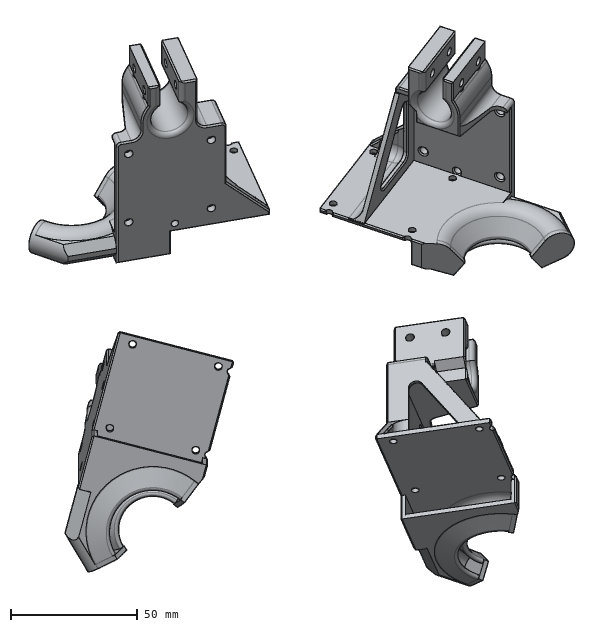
import cadquery as cq
import math


width = 47.2
length = 95.7
wall = 2.0
base_thickness = 2.1
side_chamfer = 0.7
left_chamfer = 0.6
upright_thickness = 4.0
upright_inner_x = width - upright_thickness
upright_front_y = -63.1
gusset_rear_y = -17.9
gusset_front_y = gusset_rear_y - wall
gusset_top_x = 30.6
overhang_z = 44.4
web_fillet = 5.0
big = 191.5

window_left_x = 9.0
window_right_x = 38.2
window_bottom_z = 4.9
window_corner_radius = 3.0
window_chamfer = 0.6

clip_left_x = 18.2
clip_top_z = 71.7
clip_rear_y = -30.0
bore_y = -41.0
bore_z = 54.5
bore_radius = 7.7
mouth_radius = 2.0
slot_half_width = 3.9
clip_outer_radius = 12.0
clip_front_y = bore_y - clip_outer_radius
front_arm_y = -50.0
flank_angle = 36.0
clip_end_chamfer = 0.6
relief_y = -33.5
relief_bottom_z = 49.9
relief_top_z = 52.85
shoulder_fillet = 4.0
shoulder_corner = 1.9
rear_shoulder_z = 47.6
front_shoulder_z = 46.4
front_shoulder_x = 40.0
front_shoulder_slant_end_y = -57.35
front_shoulder_bend = 3.6

duct_x = 14.1
duct_start_angle = -45.0
duct_end_angle = 113.9
tube_ring_radius = 24.2
tube_radius = 6.9
duct_y = (tube_ring_radius + tube_radius + wall) * math.sin(math.radians(-duct_start_angle)) - length
tube_centre = (tube_ring_radius, -tube_radius)
upper_lip = (13.1, -9.6)
lower_lip = (17.5, -16.2)
inlet_rear_y = -40.7
inlet_bottom_z = -13.4
duct_side_chamfer = 3.5
duct_side_lower_z = -8.1

base_hole_d = 3.0
base_hole_x = (5.5, 40.6)
base_hole_y = (-3.35, -38.5)
notch_radius = 1.5
notch_y = (-4.2, -39.2)
screw_hole_d = 3.4
hole_chamfer = 0.6
upright_hole_y = (-24.1, -58.1)
upright_hole_z = (6.3, 40.4)
access_hole_d = 3.0
access_hole_z = 1.8
clamp_hole_x = (26.0, 40.6)
clamp_hole_z = 65.8
clamp_spot_d = 7.7


def box(x0, x1, y0, y1, z0, z1):
    """Axis-aligned block between two corners."""
    return cq.Workplane("XY").box(x1 - x0, y1 - y0, z1 - z0, centered=False).translate((x0, y0, z0))


def prism_along_x(points, x0, x1):
    """Prism with a (Y, Z) outline."""
    return cq.Workplane("YZ", origin=(x0, 0, 0)).polyline(points).close().extrude(x1 - x0)


def prism_along_y(points, y_rear, y_front):
    """Prism with an (X, Z) outline."""
    return cq.Workplane("XZ", origin=(0, y_rear, 0)).polyline(points).close().extrude(y_rear - y_front)


def hole(plane, origin, diameter, length):
    return cq.Workplane(plane, origin=origin).circle(diameter / 2).extrude(length)


def moved(point, direction, distance):
    """Point shifted along a direction in the duct section."""
    return (point[0] + direction[0] * distance, point[1] + direction[1] * distance)


def middle(p, q):
    return ((p[0] + q[0]) / 2, (p[1] + q[1]) / 2)


gusset_right_x = width - side_chamfer
gusset_outline = [(0, 0), (gusset_right_x, 0), (gusset_right_x, overhang_z), (gusset_top_x, overhang_z)]
rib_reach = -gusset_rear_y
rib_outline = [(0, 0), (gusset_rear_y, rib_reach), (gusset_rear_y, 0)]


def gusset():
    """Triangular web with a rounded window, chamfered on its front side."""
    slope = gusset_top_x / overhang_z
    window_outline = [
        (window_left_x + slope * window_bottom_z, window_bottom_z),
        (window_right_x, window_bottom_z),
        (window_right_x, (window_right_x - window_left_x) / slope),
    ]
    window = prism_along_y(window_outline, gusset_rear_y, gusset_front_y)
    window = window.edges("|Y").fillet(window_corner_radius)
    web = prism_along_y(gusset_outline, gusset_rear_y, gusset_front_y).cut(window)
    rim = web.faces("<Y").val().innerWires()[0].Edges()
    return web.newObject(rim).chamfer(window_chamfer)


def corner_fillets():
    """Material that rounds the corner between plate, gusset and rib, trimmed to their sloping edges."""
    block = box(0, upright_inner_x, gusset_rear_y, -web_fillet, 0, rib_reach)
    block = block.union(box(upright_inner_x, upright_inner_x + side_chamfer,
                            gusset_rear_y, gusset_rear_y + web_fillet, 0, rib_reach))
    space = box(-big, upright_inner_x, gusset_rear_y, big, 0, big)
    space = space.edges("(|Z and >X and <Y) or (<Z and >X) or (<Z and <Y)").fillet(web_fillet)
    gusset_side = prism_along_y(gusset_outline, 0, -big)
    rib_side = prism_along_x(rib_outline, 0, width)
    return block.cut(space).intersect(gusset_side).intersect(rib_side)


def clip_body():
    """Clamp outline with its cut-back rear corner; the bore is cut later."""
    def on_arc(angle):
        a = math.radians(angle)
        return (bore_y - clip_outer_radius * math.cos(a), bore_z + clip_outer_radius * math.sin(a))

    arc_top = on_arc(flank_angle)
    flat_rise = (front_arm_y - arc_top[0]) / math.tan(math.radians(flank_angle))
    body = (
        cq.Workplane("YZ", origin=(clip_left_x, 0, 0))
        .moveTo(clip_rear_y, overhang_z).lineTo(clip_rear_y, clip_top_z).lineTo(front_arm_y, clip_top_z)
        .lineTo(front_arm_y, arc_top[1] + flat_rise).lineTo(*arc_top)
        .threePointArc(on_arc(flank_angle / 2), on_arc(0)).lineTo(clip_front_y, overhang_z)
        .close().extrude(width - clip_left_x)
    )
    relief_outline = [(clip_rear_y, relief_top_z), (relief_y, relief_bottom_z),
                      (relief_y, overhang_z), (clip_rear_y, overhang_z)]
    body = body.cut(prism_along_x(relief_outline, clip_left_x, gusset_top_x))
    return body.faces("<X").edges().chamfer(clip_end_chamfer)


def shoulder(x0, inner_y, outer_y, top_z):
    """Step beside the clip, blended into it by a concave fillet and rounded at its outer edge."""
    out = math.copysign(1, outer_y - inner_y)
    arc_share = 1 - math.sqrt(0.5)
    r = shoulder_fillet
    c = shoulder_corner
    return (
        cq.Workplane("YZ", origin=(x0, 0, 0))
        .moveTo(bore_y, overhang_z).lineTo(bore_y, top_z + r).lineTo(inner_y, top_z + r)
        .threePointArc((inner_y + out * r * arc_share, top_z + r * arc_share), (inner_y + out * r, top_z))
        .lineTo(outer_y - out * c, top_z)
        .threePointArc((outer_y - out * c * arc_share, top_z - c * arc_share), (outer_y, top_z - c))
        .lineTo(outer_y, overhang_z).close().extrude(width - x0)
    )


def rear_shoulder():
    step = shoulder(gusset_top_x, clip_rear_y, gusset_rear_y, rear_shoulder_z)
    return step.faces("<X").edges().chamfer(clip_end_chamfer)


def front_shoulder():
    """Front step whose side slants away from the clip and bends forward along the upright."""
    start_x = clip_left_x + clip_end_chamfer
    plan = (
        cq.Workplane("XY", origin=(0, 0, overhang_z))
        .polyline([(start_x, bore_y), (start_x, clip_front_y),
                   (front_shoulder_x, front_shoulder_slant_end_y), (front_shoulder_x, upright_front_y),
                   (width, upright_front_y), (width, bore_y)])
        .close().extrude(clip_top_z)
    )
    bend = cq.selectors.NearestToPointSelector(
        (front_shoulder_x, front_shoulder_slant_end_y, overhang_z + clip_top_z / 2))
    plan = plan.edges(bend).fillet(front_shoulder_bend)
    return shoulder(clip_left_x, clip_front_y, upright_front_y, front_shoulder_z).intersect(plan)


def bore_cutter():
    """Bore and slot, rounded outward at both ends and bevelled at the top of the slot."""
    slot_left = bore_y - slot_half_width
    slot_right = bore_y + slot_half_width
    margin = 9.6
    cutter = hole("YZ", (clip_left_x, bore_y, bore_z), 2 * bore_radius, width - clip_left_x)
    cutter = cutter.union(box(clip_left_x, width, slot_left, slot_right, bore_z, clip_top_z + margin))
    for x0, x1 in ((clip_left_x - margin, clip_left_x), (width, width + margin)):
        cutter = cutter.union(box(x0, x1, -big, 0, 0, big))
    for x in (clip_left_x, width):
        mouth = cq.selectors.BoxSelector(
            (x - 0.1, bore_y - 2 * bore_radius, bore_z - 2 * bore_radius),
            (x + 0.1, bore_y + 2 * bore_radius, clip_top_z + 2 * margin))
        cutter = cutter.edges(mouth).fillet(mouth_radius)
    bevel_outline = [(slot_left - side_chamfer, clip_top_z), (slot_right + side_chamfer, clip_top_z),
                     (slot_right, clip_top_z - side_chamfer), (slot_left, clip_top_z - side_chamfer)]
    return cutter.union(prism_along_x(bevel_outline, clip_left_x, width))


def upright():
    plate = box(upright_inner_x, width, upright_front_y, gusset_rear_y, -base_thickness, overhang_z)
    return plate.edges("|Z and <Y and <X").chamfer(side_chamfer)


def rear_rib():
    rib = prism_along_x(rib_outline, upright_inner_x, width)
    rib = rib.edges("<X and (not |Y) and (not |Z)").chamfer(side_chamfer)
    return rib.union(box(upright_inner_x, width, gusset_rear_y, 0, -base_thickness, 0))


def right_side():
    duct_side_wall = box(upright_inner_x, width, upright_front_y, inlet_rear_y, inlet_bottom_z, -base_thickness)
    side = upright().union(rear_rib()).union(duct_side_wall)
    side = side.union(clip_body()).union(rear_shoulder()).union(front_shoulder()).clean()
    return side.faces(">X").edges().chamfer(side_chamfer).cut(bore_cutter())


def duct_plane(angle, shift=0):
    """Radial plane of the duct: x is radius, y is Z, the normal points back along the sweep."""
    a = math.radians(angle)
    plane = cq.Plane(origin=(duct_x, duct_y, 0), xDir=(math.cos(a), math.sin(a), 0),
                     normal=(math.sin(a), -math.cos(a), 0))
    return cq.Workplane(plane).workplane(offset=shift)


def tangent_normal(point, side):
    """Unit vector from the tube centre to where a line through the point touches the tube."""
    dx = point[0] - tube_centre[0]
    dz = point[1] - tube_centre[1]
    angle = math.atan2(dz, dx) + side * math.acos(tube_radius / math.hypot(dx, dz))
    return (math.cos(angle), math.sin(angle))


upper_normal = tangent_normal(upper_lip, -1)
lower_normal = tangent_normal(lower_lip, 1)
upper_run = (-upper_normal[1], upper_normal[0])
lower_run = (lower_normal[1], -lower_normal[0])
outermost = (1, 0)


def on_tube(radius, direction):
    return moved(tube_centre, direction, radius)


def tube_section(workplane):
    """Closed tube section with two flat sides running to the nozzle lips."""
    return (
        workplane.moveTo(*upper_lip).lineTo(*on_tube(tube_radius, upper_normal))
        .threePointArc(on_tube(tube_radius, outermost), on_tube(tube_radius, lower_normal))
        .lineTo(*lower_lip).close()
    )


def duct_shell():
    """Hollow tube, open between two rounded lips."""
    inner_radius = tube_radius - wall
    nose = wall / 2
    upper_outer = moved(upper_lip, upper_run, -nose)
    upper_inner = moved(upper_outer, upper_normal, -wall)
    lower_outer = moved(lower_lip, lower_run, -nose)
    lower_inner = moved(lower_outer, lower_normal, -wall)
    return (
        duct_plane(duct_start_angle)
        .moveTo(*upper_outer).lineTo(*on_tube(tube_radius, upper_normal))
        .threePointArc(on_tube(tube_radius, outermost), on_tube(tube_radius, lower_normal))
        .lineTo(*lower_outer)
        .threePointArc(moved(middle(lower_outer, lower_inner), lower_run, nose), lower_inner)
        .lineTo(*on_tube(inner_radius, lower_normal))
        .threePointArc(on_tube(inner_radius, outermost), on_tube(inner_radius, upper_normal))
        .lineTo(*upper_inner)
        .threePointArc(moved(middle(upper_outer, upper_inner), upper_run, nose), upper_outer)
        .close().revolve(duct_end_angle - duct_start_angle, (0, 0), (0, 1))
    )


def tube_core():
    """Round inside of the tube."""
    return (
        duct_plane(duct_start_angle).center(*tube_centre).circle(tube_radius - wall)
        .revolve(duct_end_angle - duct_start_angle, (-tube_centre[0], 0), (-tube_centre[0], 1))
    )


def end_caps():
    start_cap = tube_section(duct_plane(duct_start_angle)).extrude(wall)
    end_cap = tube_section(duct_plane(duct_end_angle)).extrude(-wall)
    return start_cap.union(end_cap)


def inside_crest():
    """Cylinder within the crest line of the tube."""
    return hole("XY", (duct_x, duct_y, -big / 2), 2 * tube_ring_radius, big)


def beyond_end(distance):
    """Everything past the duct's last radial plane moved on by the distance."""
    return duct_plane(duct_end_angle, -distance).center(big / 2, 0).rect(big, big).extrude(-big)


def duct_side():
    """Straight run of the tube to the right side, flat on top and chamfered along that side."""
    tube = duct_plane(duct_start_angle, wall).center(*tube_centre).circle(tube_radius).extrude(-big)
    filler = (
        duct_plane(duct_start_angle, wall).center(tube_centre[0] / 2, tube_centre[1])
        .rect(tube_ring_radius, 2 * tube_radius).extrude(-big)
    )
    top = -base_thickness
    lower_chamfer = duct_side_lower_z - inlet_bottom_z
    outline = [(duct_x, top), (width - duct_side_chamfer, top), (width, top - duct_side_chamfer),
               (width, duct_side_lower_z), (width - lower_chamfer, inlet_bottom_z), (duct_x, inlet_bottom_z)]
    return tube.union(filler).intersect(prism_along_y(outline, upright_front_y, -big)).cut(inside_crest())


def inlet_cavity():
    """Passage from the open rear face of the inlet into the tube."""
    room = box(wall, width - wall, upright_front_y + wall, inlet_rear_y,
               inlet_bottom_z + wall, -base_thickness)
    return room.cut(inside_crest()).union(tube_core()).cut(beyond_end(0))


def edge_notch(y):
    """Vertical round notch in the left edge, with bevelled corners."""
    bevel = (
        cq.Workplane("XY", origin=(0, y, -base_thickness))
        .polyline([(0, notch_radius + left_chamfer), (left_chamfer, notch_radius),
                   (left_chamfer, -notch_radius), (0, -notch_radius - left_chamfer)])
        .close().extrude(base_thickness)
    )
    return hole("XY", (0, y, -base_thickness), 2 * notch_radius, base_thickness).union(bevel)


def base():
    plate = box(0, upright_inner_x + side_chamfer, upright_front_y, 0, -base_thickness, 0)
    plate = plate.faces("<X").edges().chamfer(left_chamfer)
    for y in notch_y:
        plate = plate.cut(edge_notch(y))
    block = box(0, upright_inner_x, upright_front_y, inlet_rear_y, inlet_bottom_z, 0)
    block = block.faces("<X").edges().chamfer(left_chamfer)
    return plate.union(block).cut(inside_crest()).cut(beyond_end(wall))


def upright_hole(y, z, diameter):
    """Hole through the upright, countersunk on its inner face."""
    start = (upright_inner_x, y, z)
    sink = hole("YZ", start, diameter + 2 * hole_chamfer, upright_thickness)
    sink = sink.intersect(cq.Workplane(cq.Solid.makeCone(
        diameter / 2 + hole_chamfer, diameter / 2, hole_chamfer, cq.Vector(*start), cq.Vector(1, 0, 0))))
    return hole("YZ", start, diameter, upright_thickness).union(sink)


def cut_holes(body):
    for x in base_hole_x:
        for y in base_hole_y:
            body = body.cut(hole("XY", (x, y, -base_thickness), base_hole_d, base_thickness))
    for y in upright_hole_y:
        for z in upright_hole_z:
            body = body.cut(upright_hole(y, z, screw_hole_d))
    above_plate = box(0, width, upright_front_y, 0, 0, overhang_z)
    body = body.cut(upright_hole(notch_y[1], access_hole_z, access_hole_d).intersect(above_plate))
    for x in clamp_hole_x:
        body = body.cut(hole("XZ", (x, clip_rear_y, clamp_hole_z), screw_hole_d, clip_rear_y - clip_front_y))
        body = body.cut(hole("XZ", (x, front_arm_y, clamp_hole_z), clamp_spot_d, clamp_spot_d))
    return body


def solid_tube():
    return tube_section(duct_plane(duct_start_angle)).revolve(
        duct_end_angle - duct_start_angle, (0, 0), (0, 1))


right_of_left_edge = box(0, width, -big, 0, -big, big)
body = base().union(right_side()).union(duct_side())
body = body.cut(solid_tube()).union(duct_shell())
body = body.union(end_caps().intersect(right_of_left_edge)).cut(inlet_cavity())
body = body.union(gusset()).union(corner_fillets())
result = cut_holes(body)